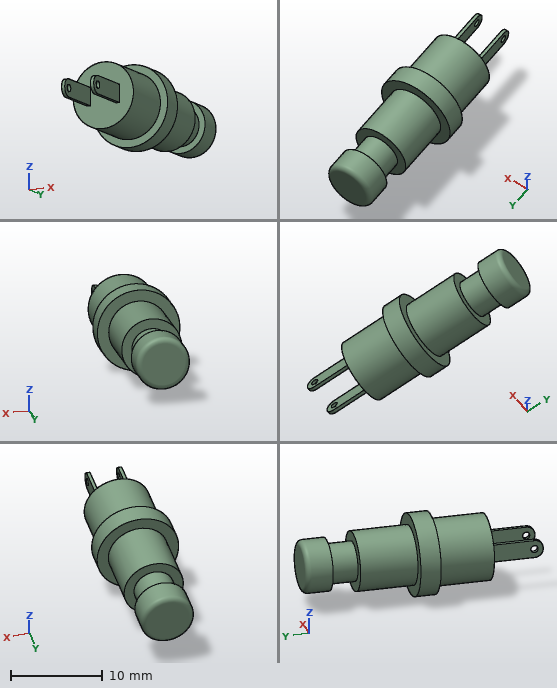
import cadquery as cq

total_length = 27.1
terminal_length = 6.0
rear_length = 6.3
flange_length = 2.3
neck_length = 3.0
cap_length = 3.0
barrel_length = total_length - (
    terminal_length + rear_length + flange_length + neck_length + cap_length
)

rear_diameter = 7.5
flange_diameter = 9.3
barrel_diameter = 6.75
neck_diameter = 4.5
cap_diameter = 6.0
cap_fillet = 0.6

terminal_width = 2.05
terminal_thickness = 0.4
terminal_spacing = 3.6
tip_fillet = 1.0
eyelet_diameter = 0.8
eyelet_from_tip = 1.0


def cylinder(start, length, diameter):
    """Cylinder on the Y axis running from start towards +Y."""
    plane = cq.Plane(origin=(0, start, 0), xDir=(1, 0, 0), normal=(0, 1, 0))
    return cq.Workplane(plane).circle(diameter / 2).extrude(length)


def terminal(x_center):
    """Flat blade with a rounded tip and an eyelet, standing in a YZ plane."""
    blade = (
        cq.Workplane("XY")
        .box(terminal_thickness, terminal_length, terminal_width, centered=(True, False, True))
        .edges("|X and <Y")
        .fillet(tip_fillet)
    )
    eyelet = (
        cq.Workplane("YZ")
        .center(eyelet_from_tip, 0)
        .circle(eyelet_diameter / 2)
        .extrude(terminal_thickness, both=True)
    )
    return blade.cut(eyelet).translate((x_center, 0, 0))


result = cylinder(terminal_length, rear_length, rear_diameter)
section_start = terminal_length + rear_length
for length, diameter in (
    (flange_length, flange_diameter),
    (barrel_length, barrel_diameter),
    (neck_length, neck_diameter),
):
    result = result.union(cylinder(section_start, length, diameter))
    section_start += length

cap = cylinder(section_start, cap_length, cap_diameter).faces(">Y").edges().fillet(cap_fillet)
result = result.union(cap)

for side in (-1, 1):
    result = result.union(terminal(side * terminal_spacing / 2))